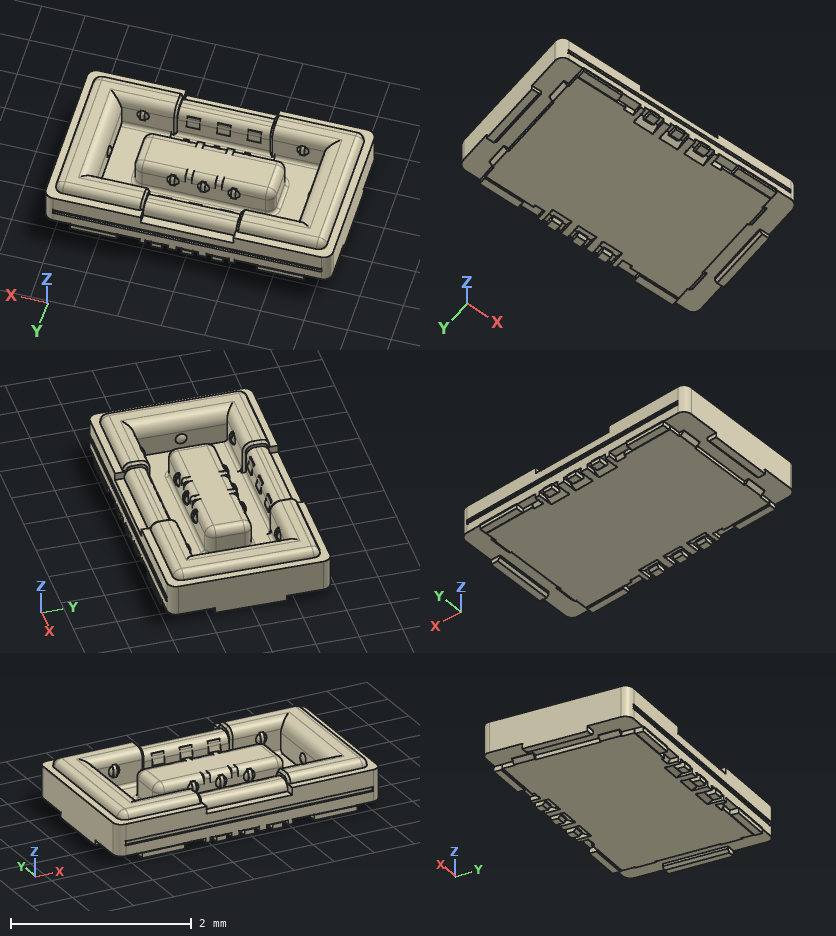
import cadquery as cq
import math

body_x = 3.3
body_y = 1.88
overall_y = 1.9
overall_z = 0.55
body_bottom_z = 0.065
ledge_z = 0.455
floor_z = 0.14
body_corner_radius = 0.107

rim_x = 3.11
rim_y = 1.69
rim_radius = 0.097
cavity_x = 2.326
cavity_y = 1.065
end_wall_radius = 0.166
side_wall_radius = 0.12

saddle_x = 1.066
saddle_top_z = 0.485
saddle_ledge_z = 0.365
saddle_inner_y = 0.566
saddle_outer_y = 0.835
saddle_radius = 0.106
saddle_end_chamfer = 0.031
rim_end_length = 0.2

island_x = 1.62
island_y = 0.532
island_radius = 0.1
separator_x = 0.173
separator_width = 0.076
separator_radius = 0.043

contact_pitch = 0.35
contact_places = (-contact_pitch, 0, contact_pitch)
root_radius = 0.044
power_strip_inner_x = 0.595
bump_radius = 0.068
bump_dome_rise = 0.036
bump_rib_width = 0.05
bump_rib_rise = 0.043
bump_rib_half_height = 0.078
bump_z = 0.362
power_bump_x = 0.918
latch_width = 0.15
latch_bottom_z = 0.307
latch_height = 0.14
latch_rise = 0.016
latch_lip_height = 0.02
end_dome_radius = 0.065
end_dome_rise = 0.03
end_dome_z = 0.284

groove_bottom_z = 0.194
groove_top_z = 0.247
groove_depth = 0.026

plate_z = 0.01
plate_x = 2.69
plate_y = 1.676
lobe_outer_x = 1.41
lobe_chamfer = 0.05
lobe_span = (0.413, 0.68)
tooth_spans = ((0.125, 0.219), (0.482, 0.542))
tooth_root = 0.15
signal_relief_depth = 0.1
power_relief_depth = 0.03
power_relief_span = (0.542, 0.673)
signal_foot_width = 0.125
power_foot_x = 1.074
power_foot_width = 0.535
end_foot_width = 0.826
foot_length = 0.133
foot_chamfer = 0.035

SIDES = (-1, 1)


def block(x0, x1, y0, y1, z0, z1):
    """Box between two opposite corners, given in any order."""
    size = (abs(x1 - x0), abs(y1 - y0), abs(z1 - z0))
    middle = ((x0 + x1) / 2, (y0 + y1) / 2, (z0 + z1) / 2)
    return cq.Workplane("XY").box(*size).translate(middle)


def centred_block(x, y, z0, z1):
    """Box centred on the Z axis."""
    return block(-x / 2, x / 2, -y / 2, y / 2, z0, z1)


def prism_along_x(outline, x0, x1):
    """Prism with a constant (y, z) outline between x0 and x1."""
    return cq.Workplane("YZ").polyline(outline).close().extrude(x1 - x0).translate((x0, 0, 0))


def on_both_y_sides(shape):
    """A shape together with its mirror image across the XZ plane."""
    return shape.union(shape.mirror("XZ"))


def flared_profile(plane, half_width, radius):
    """Cavity section whose walls open out at the top with a convex radius."""
    top_half = half_width + radius
    bend_z = overall_z - radius
    mid_offset = radius * (1 - math.sqrt(0.5))
    mid_half = half_width + mid_offset
    mid_z = overall_z - mid_offset
    return (
        cq.Workplane(plane)
        .moveTo(-half_width, floor_z)
        .lineTo(half_width, floor_z)
        .lineTo(half_width, bend_z)
        .threePointArc((mid_half, mid_z), (top_half, overall_z))
        .lineTo(-top_half, overall_z)
        .threePointArc((-mid_half, mid_z), (-half_width, bend_z))
        .close()
    )


def make_cavity():
    """Flared opening with mitred corners between walls of different radii."""
    along_y = flared_profile("XZ", cavity_x / 2, end_wall_radius).extrude(body_y / 2, both=True)
    along_x = flared_profile("YZ", cavity_y / 2, side_wall_radius).extrude(body_x / 2, both=True)
    return along_x.intersect(along_y)


def make_rim_body():
    """Outer body with raised rim and cavity."""
    body = centred_block(body_x, body_y, body_bottom_z, ledge_z).edges("|Z").fillet(body_corner_radius)
    rim = centred_block(rim_x, rim_y, floor_z, overall_z)
    rim = rim.edges("|Z").fillet(rim_radius).faces(">Z").edges().fillet(rim_radius)
    return body.union(rim).cut(make_cavity())


def make_rim_end():
    """Stub of rim at +X, +Y whose end towards the saddle has a chamfered outline."""
    x_end = saddle_x / 2
    stub = block(x_end, x_end + rim_end_length, cavity_y / 2, rim_y / 2, floor_z, overall_z)
    stub = stub.edges("|X and >Z and >Y").fillet(rim_radius)
    stub = stub.edges("|X and <Y and >Z").fillet(side_wall_radius)
    return stub.faces("<X").edges("not <Z").chamfer(saddle_end_chamfer)


def cut_saddle_gaps(body):
    """Opens the rim between its two halves and gives each half chamfered ends."""
    wide_x = saddle_x + 2 * saddle_end_chamfer
    body = body.cut(centred_block(saddle_x, body_y, saddle_ledge_z, overall_z))
    body = body.cut(centred_block(wide_x, body_y, ledge_z, overall_z))
    body = body.cut(centred_block(wide_x, 2 * saddle_inner_y, floor_z, overall_z))
    ends = on_both_y_sides(make_rim_end())
    return body.union(ends).union(ends.mirror("YZ"))


def make_saddles():
    """Low rounded bar on each long side."""
    bar = block(-saddle_x / 2, saddle_x / 2, saddle_inner_y, saddle_outer_y, floor_z, saddle_top_z)
    bar = bar.faces(">Z").edges("|X").fillet(saddle_radius)
    return on_both_y_sides(bar)


def concave_strip(wall_y, x0, x1):
    """Concave fillet between the floor and a wall at +wall_y, facing the cavity."""
    toe_y = wall_y - root_radius
    bend = root_radius * math.sqrt(0.5)
    return (
        cq.Workplane("YZ")
        .moveTo(wall_y, floor_z)
        .lineTo(toe_y, floor_z)
        .threePointArc((toe_y + bend, floor_z + root_radius - bend), (wall_y, floor_z + root_radius))
        .close()
        .extrude(x1 - x0)
        .translate((x0, 0, 0))
    )


def make_floor_strips():
    """Contact roots along the bottom of the long cavity walls."""
    half_saddle = saddle_x / 2 + saddle_end_chamfer
    strips = concave_strip(saddle_inner_y, -half_saddle, half_saddle)
    power = concave_strip(cavity_y / 2, power_strip_inner_x, cavity_x / 2)
    strips = strips.union(power).union(power.mirror("YZ"))
    return on_both_y_sides(strips)


def make_island():
    """Rounded island with separators between its contacts and a flared foot."""
    foot_margin = 4 * root_radius
    foot = centred_block(island_x + foot_margin, island_y + foot_margin, floor_z - root_radius, floor_z)
    island = centred_block(island_x, island_y, floor_z, saddle_top_z)
    island = island.edges("|Z").fillet(island_radius).faces(">Z").edges().fillet(island_radius)
    island = foot.union(island)
    wall_base = cq.selectors.BoxSelector(
        (-island_x / 2 - root_radius, -island_y / 2 - root_radius, floor_z - root_radius / 2),
        (island_x / 2 + root_radius, island_y / 2 + root_radius, floor_z + root_radius / 2),
    )
    island = island.edges(wall_base).fillet(root_radius)
    separator = centred_block(separator_width, island_y, floor_z, saddle_top_z)
    separator = separator.faces(">Z").edges("|X").fillet(separator_radius)
    for side in SIDES:
        island = island.union(separator.translate((side * separator_x, 0, 0)))
    return island


def make_dome(radius, rise):
    """Shallow spherical cap swelling towards +Y from the XZ plane, on a stub buried behind it."""
    ball_radius = (radius**2 + rise**2) / (2 * rise)
    half_angle = math.asin(radius / ball_radius) / 2
    mid_x = ball_radius * math.sin(half_angle)
    mid_y = rise - ball_radius * (1 - math.cos(half_angle))
    return (
        cq.Workplane("XY")
        .moveTo(0, -rise)
        .lineTo(radius, -rise)
        .lineTo(radius, 0)
        .threePointArc((mid_x, mid_y), (0, rise))
        .close()
        .revolve(360, (0, 0, 0), (0, 1, 0))
    )


def make_bump():
    """Contact bump swelling towards +Y: a dome with an upright rib across its middle."""
    rib = (
        cq.Workplane("YZ")
        .moveTo(-bump_rib_rise, -bump_rib_half_height)
        .lineTo(0, -bump_rib_half_height)
        .threePointArc((bump_rib_rise, 0), (0, bump_rib_half_height))
        .lineTo(-bump_rib_rise, bump_rib_half_height)
        .close()
        .extrude(bump_rib_width / 2, both=True)
    )
    return make_dome(bump_radius, bump_dome_rise).union(rib)


def make_contact_bumps():
    """Bumps on the island sides and on the long cavity walls."""
    outward = make_bump()
    inward = outward.mirror("XZ")
    bumps = cq.Workplane("XY")
    for x in contact_places:
        bumps = bumps.add(outward.translate((x, island_y / 2, bump_z)))
    for side in SIDES:
        bumps = bumps.add(inward.translate((side * power_bump_x, cavity_y / 2, bump_z)))
    return on_both_y_sides(bumps.combine())


def make_latches():
    """Small wedges on the inner walls of the saddles."""
    front_y = saddle_inner_y - latch_rise
    back_y = saddle_inner_y + saddle_radius / 2
    top_z = latch_bottom_z + latch_height
    outline = [
        (back_y, latch_bottom_z),
        (front_y, latch_bottom_z),
        (front_y, latch_bottom_z + latch_lip_height),
        (saddle_inner_y + latch_rise, top_z),
        (back_y, top_z),
    ]
    wedge = prism_along_x(outline, -latch_width / 2, latch_width / 2)
    latches = cq.Workplane("XY")
    for x in contact_places:
        latches = latches.add(wedge.translate((x, 0, 0)))
    return on_both_y_sides(latches.combine())


def make_end_domes():
    """Shallow spherical dome on each short cavity wall."""
    dome = make_dome(end_dome_radius, end_dome_rise).rotate((0, 0, 0), (0, 0, 1), 90)
    dome = dome.translate((cavity_x / 2, 0, end_dome_z))
    return dome.union(dome.mirror("YZ"))


def make_side_grooves():
    """Shallow groove on each long outer side, ending where the corners begin."""
    half_length = body_x / 2 - body_corner_radius
    outer_y = body_y / 2
    groove = block(-half_length, half_length, outer_y - groove_depth, outer_y, groove_bottom_z, groove_top_z)
    return on_both_y_sides(groove)


def make_relief(x0, x1, depth):
    """Wedges that slope both long plate edges between x0 and x1."""
    edge_y = plate_y / 2
    outline = [(edge_y, body_bottom_z), (edge_y - depth, plate_z), (edge_y, plate_z)]
    return on_both_y_sides(prism_along_x(outline, x0, x1))


def make_tooth(x0, x1):
    """Teeth between x0 and x1, flush with both long sides of the body."""
    outer_y = body_y / 2
    return on_both_y_sides(block(x0, x1, outer_y - tooth_root, outer_y, plate_z, body_bottom_z))


def make_lobe():
    """Lobes at the +X end of the plate with a bevelled bottom edge."""
    lobe = block(0, lobe_outer_x, *lobe_span, plate_z, body_bottom_z)
    return on_both_y_sides(lobe.edges(">X and <Z").chamfer(lobe_chamfer))


def make_plate():
    """Plate under the body, with sloped reliefs, end lobes and teeth."""
    inner_tooth, outer_tooth = tooth_spans
    plate = centred_block(plate_x, plate_y, plate_z, body_bottom_z)
    plate = plate.cut(make_relief(-inner_tooth[0], inner_tooth[0], signal_relief_depth))
    outer_signal_relief = make_relief(inner_tooth[1], outer_tooth[0], signal_relief_depth)
    power_relief = make_relief(*power_relief_span, power_relief_depth)
    for relief in (outer_signal_relief, power_relief):
        plate = plate.cut(relief).cut(relief.mirror("YZ"))
    for addition in (make_tooth(*inner_tooth), make_tooth(*outer_tooth), make_lobe()):
        plate = plate.union(addition).union(addition.mirror("YZ"))
    return plate


def make_foot(width, outer_y):
    """Soldering foot on the +Y side with a bevelled inner bottom edge."""
    inner_y = outer_y - foot_length
    outline = [
        (outer_y, 0),
        (inner_y + foot_chamfer, 0),
        (inner_y, foot_chamfer),
        (inner_y, body_bottom_z),
        (outer_y, body_bottom_z),
    ]
    return prism_along_x(outline, -width / 2, width / 2)


def make_feet():
    """All soldering feet: signal and power feet on the long sides, one foot at each end."""
    signal = make_foot(signal_foot_width, overall_y / 2)
    power = make_foot(power_foot_width, overall_y / 2)
    feet = cq.Workplane("XY")
    for x in contact_places:
        feet = feet.add(signal.translate((x, 0, 0)))
    for side in SIDES:
        feet = feet.add(power.translate((side * power_foot_x, 0, 0)))
    feet = on_both_y_sides(feet.combine())
    end_foot = make_foot(end_foot_width, body_x / 2).rotate((0, 0, 0), (0, 0, 1), -90)
    return feet.union(end_foot).union(end_foot.mirror("YZ"))


result = cut_saddle_gaps(make_rim_body())
result = result.cut(make_side_grooves())
for feature in (
    make_saddles(),
    make_floor_strips(),
    make_island(),
    make_latches(),
    make_contact_bumps(),
    make_end_domes(),
    make_plate(),
    make_feet(),
):
    result = result.union(feature)